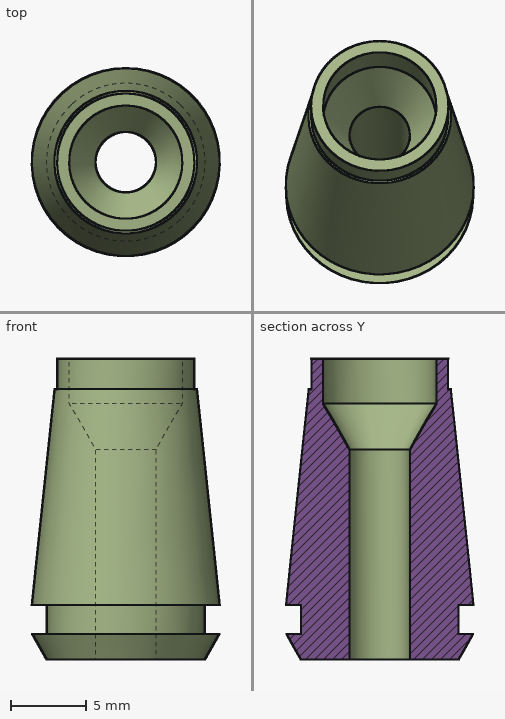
import cadquery as cq
import math

total_height = 20.0
flange_height = 1.7
body_bottom = 3.62
collar_height = 2.05
body_top = total_height - collar_height

body_radius = 12.5 / 2
body_top_radius = 4.75
neck_radius = 5.25
flange_radius = 6.22
collar_radius = 4.55

socket_radius = 3.75
socket_depth = 3.0
bore_radius = 2.0
seat_half_angle = 30.0
seat_height = (socket_radius - bore_radius) / math.tan(math.radians(seat_half_angle))
socket_floor = total_height - socket_depth

profile = (
    cq.Workplane("YZ")
    .moveTo(bore_radius, 0)
    .lineTo(neck_radius, 0)
    .lineTo(flange_radius, flange_height)
    .lineTo(neck_radius, flange_height)
    .lineTo(neck_radius, body_bottom)
    .lineTo(body_radius, body_bottom)
    .lineTo(body_top_radius, body_top)
    .lineTo(collar_radius, body_top)
    .lineTo(collar_radius, total_height)
    .lineTo(socket_radius, total_height)
    .lineTo(socket_radius, socket_floor)
    .lineTo(bore_radius, socket_floor - seat_height)
    .close()
)

result = profile.revolve(360, (0, 0, 0), (0, 1, 0))